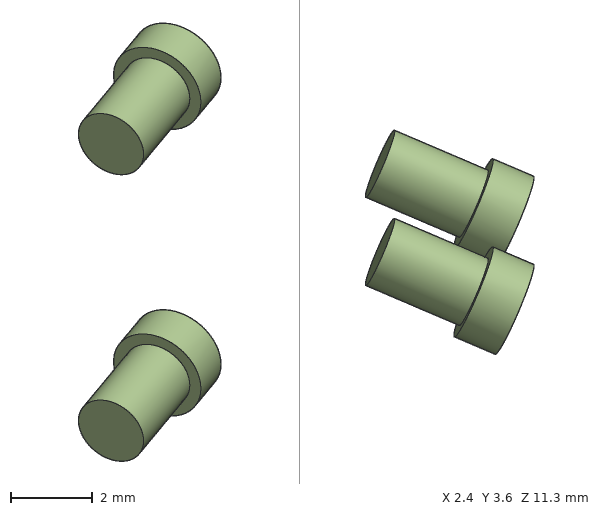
import cadquery as cq

overall_height = 11.29
head_diameter = 2.4
shank_diameter = 1.8
pin_length = 3.6
head_length = 1.1

pin_spacing = overall_height - head_diameter
shank_length = pin_length - head_length


def make_headed_pin(center_z):
    """Pin along Y: the head starts at Y = 0 and the shank points toward -Y."""
    head = cq.Workplane("XZ").circle(head_diameter / 2).extrude(head_length)
    shank = (
        cq.Workplane("XZ", origin=(0, -head_length, 0))
        .circle(shank_diameter / 2)
        .extrude(shank_length)
    )
    return head.union(shank).translate((0, 0, center_z))


headed_pins = []
for side in (-1, 1):
    headed_pins.append(make_headed_pin(side * pin_spacing / 2))

result = cq.Compound.makeCompound([pin.solids().val() for pin in headed_pins])